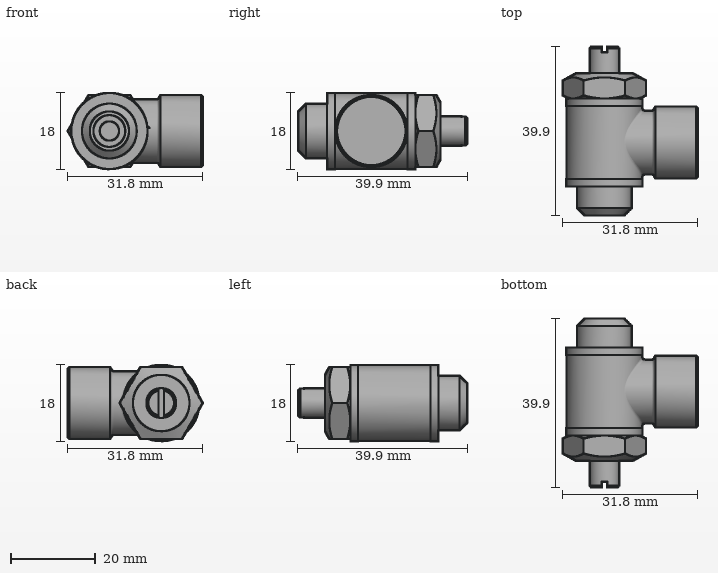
import cadquery as cq
import math


body_radius = 8.95
body_half_length = 10.35
collar_radius = 9.0
collar_width = 1.8

stud_radius = 6.45
stud_length = 6.85
stud_chamfer = 1.85
stud_bore_radius = 3.75
seat_hole_radius = 2.27
seat_hole_depth = 2.0

hex_across_flats = 17.0
hex_height = 5.98
hex_top_radius = 6.65
hex_chamfer_angle = math.radians(29)

overall_length = 39.85
spindle_radius = 3.5
spindle_chamfer_length = 0.55
spindle_chamfer_depth = 0.48
slot_width = 1.25
slot_depth = 1.35

neck_radius = 7.55
port_radius = 8.5
port_shoulder_x = 12.05
port_end_x = 22.0
port_end_chamfer = 0.45
shoulder_angle = math.radians(60)
shoulder_fillet = 0.48
neck_root_fillet = 0.55

stud_end_y = -body_half_length - stud_length
hex_top_y = body_half_length + hex_height
spindle_end_y = stud_end_y + overall_length
shoulder_start_x = port_shoulder_x - (port_radius - neck_radius) / math.tan(shoulder_angle)


def cylinder_y(radius, start_y, end_y):
    """Cylinder on the main axis between two Y positions."""
    return cq.Workplane("XZ", origin=(0, start_y, 0)).circle(radius).extrude(start_y - end_y)


def make_side_port():
    """Neck and larger head, revolved about X, starting on the main axis."""
    profile = [
        (0, 0),
        (0, neck_radius),
        (shoulder_start_x, neck_radius),
        (port_shoulder_x, port_radius),
        (port_end_x - port_end_chamfer, port_radius),
        (port_end_x, port_radius - port_end_chamfer),
        (port_end_x, 0),
    ]
    port = cq.Workplane("XY").polyline(profile).close().revolve(360, (0, 0, 0), (1, 0, 0))
    shoulder_root = cq.selectors.BoxSelector(
        (shoulder_start_x - 0.05, -port_radius, -port_radius),
        (shoulder_start_x + 0.05, port_radius, port_radius),
    )
    return port.edges("%CIRCLE").edges(shoulder_root).fillet(shoulder_fillet)


def make_hex_nut():
    """Hexagon with corners on +/-X, turned down by a cone at both faces."""
    corner_radius = hex_across_flats / 2 / math.cos(math.pi / 6)
    hexagon = (
        cq.Workplane("XZ", origin=(0, body_half_length, 0))
        .polygon(6, 2 * corner_radius)
        .extrude(-hex_height)
    )
    slope = math.tan(hex_chamfer_angle)
    base_radius = hex_across_flats / 2
    profile = [
        (0, body_half_length),
        (base_radius, body_half_length),
        (corner_radius, body_half_length + (corner_radius - base_radius) * slope),
        (corner_radius, hex_top_y - (corner_radius - hex_top_radius) * slope),
        (hex_top_radius, hex_top_y),
        (0, hex_top_y),
    ]
    envelope = cq.Workplane("XY").polyline(profile).close().revolve(360, (0, 0, 0), (0, 1, 0))
    return hexagon.intersect(envelope)


def make_spindle():
    """Chamfered spindle with a screwdriver slot running along Z."""
    spindle = cylinder_y(spindle_radius, hex_top_y, spindle_end_y)
    spindle = spindle.faces(">Y").edges().chamfer(spindle_chamfer_length, spindle_chamfer_depth)
    slot = cq.Workplane("XY").box(slot_width, 2 * slot_depth, 2 * spindle_radius)
    return spindle.cut(slot.translate((0, spindle_end_y, 0)))


body = cylinder_y(body_radius, -body_half_length, body_half_length).union(make_side_port())
junction = cq.selectors.BoxSelector(
    (0.4, -neck_radius - 0.4, -neck_radius - 0.4),
    (body_radius + 0.4, neck_radius + 0.4, neck_radius + 0.4),
)
body = body.edges("(not %CIRCLE) and (not %LINE)").edges(junction).fillet(neck_root_fillet)

for outer_end_y in (-body_half_length, body_half_length):
    inner_end_y = outer_end_y - math.copysign(collar_width, outer_end_y)
    body = body.union(cylinder_y(collar_radius, inner_end_y, outer_end_y))

stud = cylinder_y(stud_radius, -body_half_length, stud_end_y).faces("<Y").chamfer(stud_chamfer)

result = body.union(stud).union(make_hex_nut()).union(make_spindle())

result = result.cut(cylinder_y(stud_bore_radius, stud_end_y, 0))
result = result.cut(cylinder_y(seat_hole_radius, 0, seat_hole_depth))